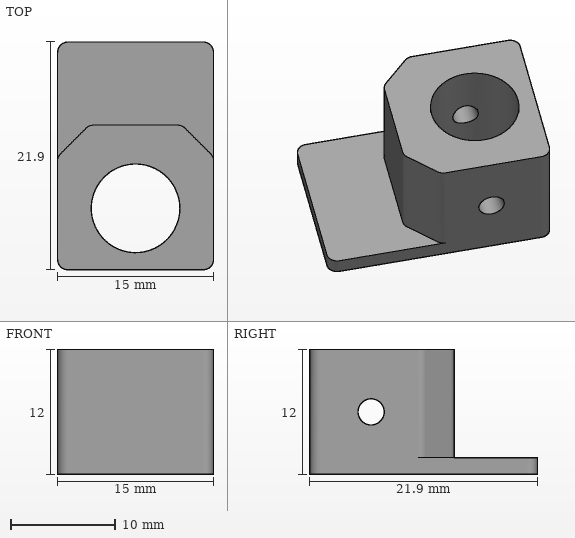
import cadquery as cq

width = 15.0
length = 21.9
height = 12.0

plate_thickness = 1.6
block_depth = 13.9
block_chamfer = 3.05
corner_radius = 1.0

bore_diameter = 8.5
bore_y = 5.91
cross_hole_diameter = 2.5
cross_hole_z = height / 2


def make_plate():
    """Flat base with four rounded corners, front edge at Y = 0."""
    plate = cq.Workplane("XY").box(width, length, plate_thickness, centered=(True, False, False))
    return plate.edges("|Z").fillet(corner_radius)


def make_block():
    """Tall block with chamfered rear corners; every vertical edge is rounded."""
    block = cq.Workplane("XY").box(width, block_depth, height, centered=(True, False, False))
    block = block.edges("|Z and >Y").chamfer(block_chamfer)
    return block.edges("|Z").fillet(corner_radius)


def make_bore():
    """Vertical bore through the full height."""
    return cq.Workplane("XY").center(0, bore_y).circle(bore_diameter / 2).extrude(height)


def make_cross_hole():
    """Horizontal hole along X through both walls, crossing the bore axis."""
    profile = cq.Workplane("YZ").center(bore_y, cross_hole_z).circle(cross_hole_diameter / 2)
    return profile.extrude(width / 2, both=True)


result = make_plate().union(make_block()).cut(make_bore()).cut(make_cross_hole())